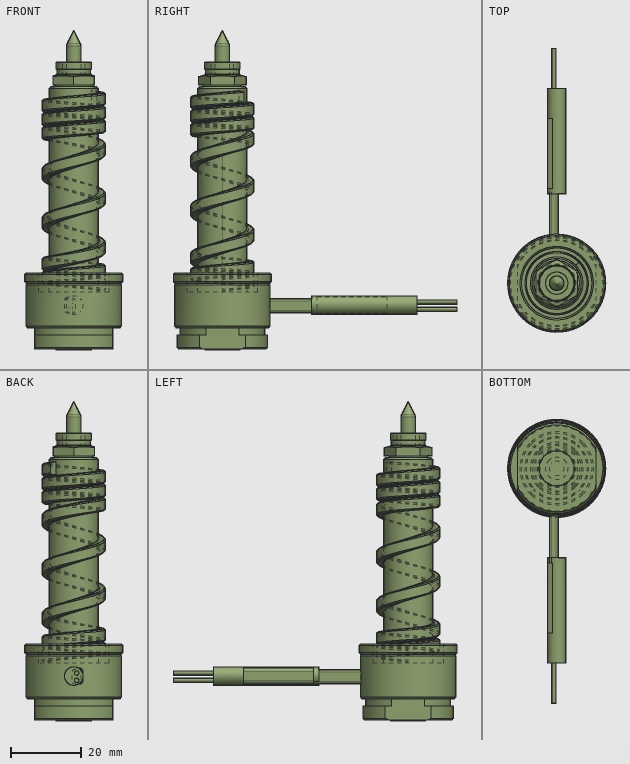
import cadquery as cq
import math

flange_diameter = 28.0
flange_radius = flange_diameter / 2
flange_top = 22.1
flange_bottom = 19.1
body_diameter = 27.3
body_radius = body_diameter / 2
body_bottom = 6.4
edge_chamfer = 0.5
well_radius = 10.0
well_depth = 5.5
well_floor = flange_top - well_depth

foot_radius = 12.95
foot_bottom = 0.3
foot_top = 4.4
foot_chamfer = 0.55
foot_neck_radius = 12.1
foot_pad_radius = 5.0
foot_across_flats = 22.3

shaft_radius = 7.0
shaft_top = 75.15
shaft_chamfer = 0.55
thread_radius = 9.0
thread_embed = 0.1
thread_root_radius = shaft_radius - thread_embed
thread_height = 3.5
thread_chamfer = 0.4
thread_flare_width = 0.55
thread_flare_height = 0.2
fine_pitch = 3.9
coarse_pitch = 13.95
ramp_turns = 0.44
coarse_turns = 2.1
lower_fine_turns = 1.5
upper_fine_turns = 2.64
thread_mid_height = 24.6
points_per_turn = 24

hex_across_flats = 11.9
hex_bottom = 75.7
hex_top = 78.4
hex_corner_top = 78.0
under_hex_radius = 5.5
collar_neck_radius = 4.8
collar_flare = 0.4
collar_radius = 5.1
collar_bottom = 80.1
collar_top = 82.2
collar_chamfer = 0.2
bore_radius = 3.2
bore_depth = 3.65
pin_radius = 2.1
cone_base = 87.1
tip = 91.2
pin_blend_radius = 1.5

cable_x = -0.8
cable_z = 12.7
cable_width = 2.55
cable_height = 4.0
cable_corner_radius = 0.6
cable_start = 11.9
sleeve_radius = 2.6
sleeve_z = 12.9
sleeve_start = 25.4
sleeve_end = 55.5
window_start = 27.0
window_end = 47.0
window_floor_x = -1.2
core_width = 1.8
core_height = 4.6
core_corner_radius = 1.0
wire_radius = 0.6
wire_spacing = 2.1
overall_depth = 81.0
wire_end = overall_depth - flange_radius


def revolve_about_z(points):
    """Solid of revolution from (radius, height) points."""
    return cq.Workplane("XZ").polyline(points).close().revolve(360, (0, 0), (0, 1))


def rod_along_y(x, z, radius, start, end):
    """Round rod parallel to Y."""
    plane = cq.Plane(origin=(x, start, z), xDir=(1, 0, 0), normal=(0, 1, 0))
    return cq.Workplane(plane).circle(radius).extrude(end - start)


def make_housing():
    """Round body with a flange, a V-groove beneath it and an open well on top."""
    return revolve_about_z([
        (0, body_bottom),
        (body_radius - edge_chamfer, body_bottom),
        (body_radius, body_bottom + edge_chamfer),
        (body_radius, flange_bottom - edge_chamfer),
        (body_radius - edge_chamfer, flange_bottom),
        (flange_radius - edge_chamfer, flange_bottom),
        (flange_radius, flange_bottom + edge_chamfer),
        (flange_radius, flange_top - edge_chamfer),
        (flange_radius - edge_chamfer, flange_top),
        (well_radius + edge_chamfer, flange_top),
        (well_radius, flange_top - edge_chamfer),
        (well_radius, well_floor),
        (0, well_floor),
    ])


def make_foot():
    """Necked disc with two wrench flats facing -X and +X."""
    disc = revolve_about_z([
        (0, 0),
        (foot_pad_radius, 0),
        (foot_pad_radius, foot_bottom),
        (foot_radius - foot_chamfer, foot_bottom),
        (foot_radius, foot_bottom + foot_chamfer),
        (foot_radius, foot_top),
        (foot_neck_radius, foot_top),
        (foot_neck_radius, body_bottom),
        (0, body_bottom),
    ])
    flats = cq.Workplane("XY").rect(foot_across_flats, 2 * foot_radius).extrude(body_bottom)
    return disc.intersect(flats)


def make_shaft():
    """Plain shaft standing on the well floor."""
    return (
        cq.Workplane("XY").workplane(offset=well_floor)
        .circle(shaft_radius).extrude(shaft_top - well_floor)
        .faces(">Z").chamfer(shaft_chamfer)
    )


def thread_rise(turn):
    """Height gained after a number of turns; the pitch ramps linearly between fine and coarse."""
    extra_pitch = coarse_pitch - fine_pitch
    ramp_up = min(max(turn, 0), ramp_turns)
    coarse = min(max(turn - ramp_turns, 0), coarse_turns)
    ramp_down = min(max(turn - ramp_turns - coarse_turns, 0), ramp_turns)
    ramp_down_turns = ramp_down - ramp_down ** 2 / (2 * ramp_turns)
    extra_turns = ramp_up ** 2 / (2 * ramp_turns) + coarse + ramp_down_turns
    return fine_pitch * turn + extra_pitch * extra_turns


def make_thread():
    """Right-handed rib, fine at both ends and coarse between, bounded by ruled helical faces."""
    half = thread_height / 2
    upper_half = [
        (thread_radius, half - thread_chamfer),
        (thread_radius - thread_chamfer, half),
        (thread_root_radius + thread_flare_width, half),
        (thread_root_radius, half + thread_flare_height),
    ]
    lower_half = [(radius, -offset) for radius, offset in reversed(upper_half)]
    section = lower_half + upper_half
    first_turn = -lower_fine_turns
    last_turn = 2 * ramp_turns + coarse_turns + upper_fine_turns
    steps = math.ceil((last_turn - first_turn) * points_per_turn)

    def thread_point(corner, turn):
        radius, offset = corner
        angle = math.pi + 2 * math.pi * turn
        height = thread_mid_height + thread_rise(turn) + offset
        return cq.Vector(radius * math.cos(angle), radius * math.sin(angle), height)

    turns = [first_turn + (last_turn - first_turn) * i / steps for i in range(steps + 1)]
    edges = [cq.Edge.makeSpline([thread_point(corner, turn) for turn in turns]) for corner in section]
    faces = [cq.Face.makeRuledSurface(edges[i - 1], edges[i]) for i in range(len(edges))]
    for turn in (first_turn, last_turn):
        outline = cq.Wire.makePolygon([thread_point(corner, turn) for corner in section], close=True)
        faces.append(cq.Face.makeFromWires(outline))
    return cq.Workplane(cq.Solid.makeSolid(cq.Shell.makeShell(faces)))


def make_hexagon():
    """Hexagon with corners on the Y axis, a coned top and a short neck below."""
    corner_radius = hex_across_flats / 2 / math.cos(math.pi / 6)
    prism = (
        cq.Workplane("XY").workplane(offset=hex_bottom)
        .transformed(rotate=(0, 0, 90))
        .polygon(6, 2 * corner_radius).extrude(hex_top - hex_bottom)
    )
    coned_top = revolve_about_z([
        (0, hex_bottom),
        (corner_radius, hex_bottom),
        (corner_radius, hex_corner_top),
        (collar_neck_radius + collar_flare, hex_top),
        (0, hex_top),
    ])
    neck = (
        cq.Workplane("XY").workplane(offset=shaft_top)
        .circle(under_hex_radius).extrude(hex_bottom - shaft_top)
    )
    return prism.intersect(coned_top).union(neck)


def make_collar():
    """Collar on a flared neck, bored for the pin."""
    collar = revolve_about_z([
        (0, hex_top),
        (collar_neck_radius + collar_flare, hex_top),
        (collar_neck_radius, hex_top + collar_flare),
        (collar_neck_radius, collar_bottom),
        (collar_radius - collar_chamfer, collar_bottom),
        (collar_radius, collar_bottom + collar_chamfer),
        (collar_radius, collar_top - collar_chamfer),
        (collar_radius - collar_chamfer, collar_top),
        (0, collar_top),
    ])
    bore = cq.Workplane("XY").workplane(offset=collar_top).circle(bore_radius).extrude(-bore_depth)
    return collar.cut(bore)


def make_pin():
    """Round pin with a conical tip blended into its side."""
    pin_bottom = collar_top - bore_depth
    pin = revolve_about_z([(0, pin_bottom), (pin_radius, pin_bottom), (pin_radius, cone_base), (0, tip)])
    cone_edge = cq.selectors.NearestToPointSelector((0, 0, cone_base))
    return pin.edges("%CIRCLE").edges(cone_edge).fillet(pin_blend_radius)


def make_cable():
    """Flat cable with two bare wires and a round sleeve opened along its -X side."""
    sleeve = rod_along_y(0, sleeve_z, sleeve_radius, sleeve_start, sleeve_end)
    window = cq.Workplane("XY").box(
        sleeve_radius, window_end - window_start, 2 * sleeve_radius, centered=(False, False, True)
    ).translate((window_floor_x - sleeve_radius, window_start, sleeve_z))
    jacket = (
        cq.Workplane("XY")
        .box(cable_width, window_end - cable_start, cable_height, centered=(True, False, True))
        .edges("|Y").fillet(cable_corner_radius)
        .translate((cable_x, cable_start, cable_z))
    )
    core = (
        cq.Workplane("XY")
        .box(core_width, window_end - window_start, core_height, centered=(False, False, True))
        .edges("|Y and <X").fillet(core_corner_radius)
        .translate((-sleeve_radius, window_start, sleeve_z))
    )
    cable = sleeve.cut(window).union(core).union(jacket)
    for side in (-1, 1):
        wire_z = cable_z + side * wire_spacing / 2
        cable = cable.union(rod_along_y(cable_x, wire_z, wire_radius, window_end, wire_end))
    return cable


screw = make_shaft().union(make_thread())
head = make_hexagon().union(make_collar()).union(make_pin())
result = make_housing().union(make_foot()).union(screw).union(head).union(make_cable())